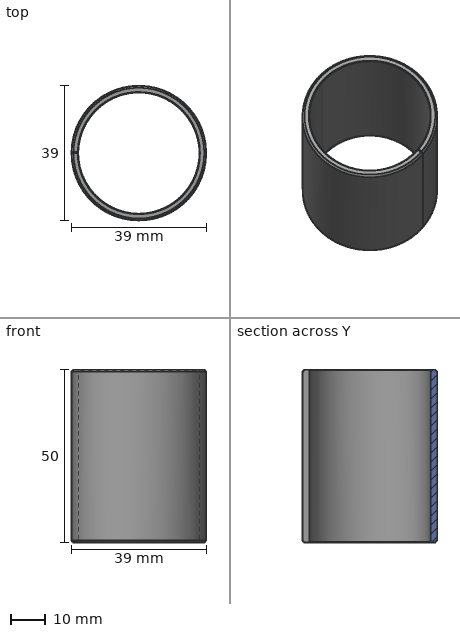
import cadquery as cq

length = 50.0
outer_diameter = 39.0
wall = 2.0
outer_chamfer = 0.6
inner_chamfer = 0.2
joint_width = 0.3

outer_radius = outer_diameter / 2
inner_radius = outer_radius - wall


def sleeve():
    """Tube along Z, centred on the origin, with bevelled rims."""
    body = cq.Workplane("XY").cylinder(length, outer_radius)
    body = body.faces("|Z").edges().chamfer(outer_chamfer)
    body = body.cut(cq.Workplane("XY").cylinder(length, inner_radius))
    bore_rims = body.faces("|Z").edges(cq.selectors.RadiusNthSelector(0))
    return bore_rims.chamfer(inner_chamfer)


def joint():
    """Cutter for the slit through the -X wall, with one face on the XZ plane."""
    cutter = cq.Workplane("XY").box(outer_radius, joint_width, length)
    return cutter.translate((-outer_radius, joint_width / 2, 0))


result = sleeve().cut(joint())